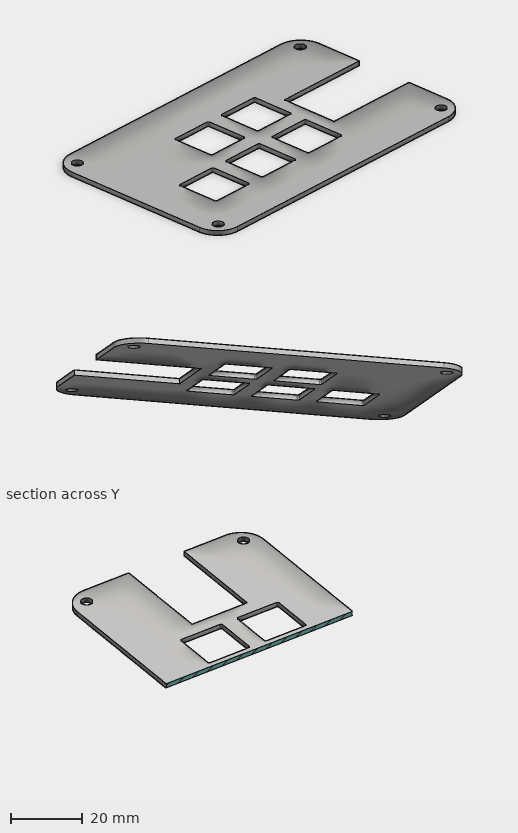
import cadquery as cq

plate_width = 63.0
plate_length = 102.0
plate_thickness = 1.5
corner_radius = 7.5

screw_hole_diameter = 3.4
screw_hole_inset = 5.0

notch_center_x = 0.5
notch_width = 18.7
notch_depth = 30.9

key_size = 14.0
key_corner_radius = 0.5
key_pitch = 19.1
top_row_y = 8.6
left_column_x = -9.0

key_cells = [(0, 0), (1, 0), (0, 1), (1, 1), (1, 2)]


def make_plate():
    plate = cq.Workplane("XY").rect(plate_width, plate_length).extrude(plate_thickness)
    return plate.edges("|Z").fillet(corner_radius)


def make_screw_holes():
    spacing_x = plate_width - 2 * screw_hole_inset
    spacing_y = plate_length - 2 * screw_hole_inset
    return (
        cq.Workplane("XY")
        .rect(spacing_x, spacing_y, forConstruction=True)
        .vertices()
        .circle(screw_hole_diameter / 2)
        .extrude(plate_thickness)
    )


def make_notch():
    center_y = plate_length / 2 - notch_depth / 2
    return (
        cq.Workplane("XY")
        .center(notch_center_x, center_y)
        .rect(notch_width, notch_depth)
        .extrude(plate_thickness)
    )


def make_key_openings():
    centers = [
        (left_column_x + column * key_pitch, top_row_y - row * key_pitch)
        for column, row in key_cells
    ]
    openings = (
        cq.Workplane("XY")
        .pushPoints(centers)
        .rect(key_size, key_size)
        .extrude(plate_thickness)
    )
    return openings.edges("|Z").fillet(key_corner_radius)


result = make_plate().cut(make_screw_holes()).cut(make_notch()).cut(make_key_openings())